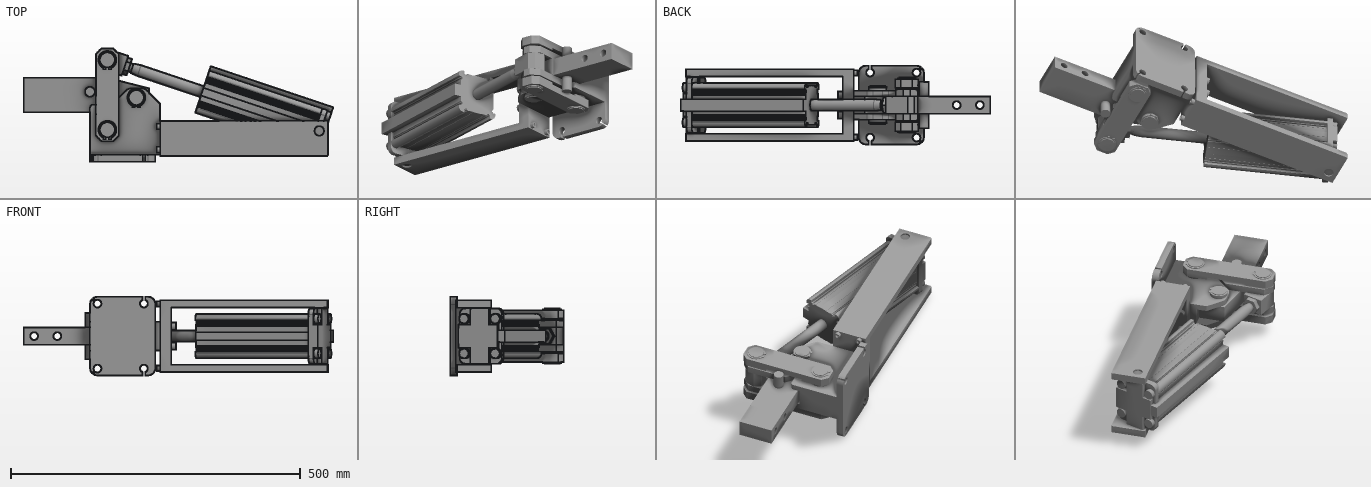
import cadquery as cq
import math


LINK_X = 30.0
BASE_PIN = (LINK_X, 55.5)
TOP_PIN = (LINK_X, 176.0)
PIVOT_PIN = (80.0, 111.0)
STOP_PIN = (0.0, 121.0)
TRUNNION_PIN = (395.5, 53.5)

PLATE_LENGTH = 113.0
PLATE_WIDTH = 136.0
PLATE_THICKNESS = 12.0
PLATE_CORNER = 13.0
PLATE_HOLE = 13.0
PLATE_HOLE_X = (13.0, 93.0)
PLATE_HOLE_Z = 56.0
EDGE_SLOT_WIDTH = 4.0
CORNER_SLOT_WIDTH = 2.5
CORNER_SLOT_ANGLE = 45

BODY_LENGTH = 121.0
BODY_HALF_WIDTH = 25.0
BODY_SHOULDER = 99.0
BODY_TOP = 127.0
BODY_TOP_LEFT = 66.0
BODY_TOP_RIGHT = 94.5
BODY_TOP_FILLET = 15.0
BODY_SHOULDER_FILLET = 6.0

ARM_TIP_X = -114.3
ARM_HALF_WIDTH = 15.0
ARM_BOTTOM = 85.3
ARM_HEIGHT = 60.0
ARM_HOLE = 13.0
ARM_HOLE_OFFSETS = (18.0, 58.0)
HUB_LEFT = 10.5
HUB_RIGHT = 102.0
HUB_BOTTOM = 82.0
HUB_TOP = 149.0
HUB_SLOPE_START = 15.0
STOP_PIN_DIAMETER = 17.0
STOP_PIN_HALF_LENGTH = 40.0

LINK_WIDTH = 40.0
LINK_END = 20.0
LINK_CHAMFER = 10.0
LINK_INNER_Z = 30.0
LINK_OUTER_Z = 45.0
RELIEF_DEPTH = 4.0
INNER_LINK_WIDTH = 38.0
INNER_LINK_BOTTOM = 101.0
INNER_LINK_OUTER_Z = 27.0
INNER_LINK_CHAMFER = 13.0

PIN_DIAMETER = 26.0
PIN_STICK_OUT = 3.0
CLIP_DIAMETER = 31.0
CLIP_THICKNESS = 1.5
CLIP_LUG = 4.0
CLIP_LUG_X = 4.7
CLIP_LUG_DROP = 14.5
WASHER_DIAMETER = 34.0
PIVOT_WASHER_DIAMETER = 30.0

FRAME_RIGHT = 411.0
FRAME_BOTTOM = 10.0
FRAME_HEIGHT = 61.0
FRAME_HALF_WIDTH = 62.0
FRAME_ARM_THICKNESS = 13.0
FRAME_WEB = 19.5
FRAME_END_CHAMFER = 2.0
TRUNNION_HOLE = 16.5
TRUNNION_HALF_LENGTH = 59.0

HEX_SIDES = 6
SCREW_Y = (21.0, 61.0)
OUTER_SCREW_Z = 55.5
OUTER_HEAD_DIAMETER = 10.0
OUTER_HEAD_HEIGHT = 6.0
OUTER_SOCKET = 5.8
OUTER_SOCKET_DEPTH = 3.0
INNER_SCREW_Z = 17.2
INNER_HEAD_DIAMETER = 13.0
INNER_HEAD_HEIGHT = 8.0

ROD_EYE_BACK = -17.0
ROD_EYE_FRONT = 32.0
ROD_EYE_HALF_HEIGHT = 18.0
ROD_EYE_CHAMFER = 9.0
NUT_END = 40.0
NUT_CORNERS = 30.0
NECK_END = 45.0
NECK_RADIUS = 7.5
TAPER_START_RADIUS = 8.5
TAPER_END = 57.5
ROD_RADIUS = 10.0
TUBE_START = 172.5
FLANGE_START = 378.3
FLANGE_END = 387.8
CYLINDER_END = 395.5

TUBE_HALF = 38.3
TUBE_CORNER = 8.7
FACE_RECESS = 4.0
FACE_RECESS_HALF_WIDTH = 27.0
GROOVE_INNER = 19.5
GROOVE_DEPTH = 5.5
GROOVE_SLOT = (21.8, 24.7)
GROOVE_SLOT_DEPTH = 7.5
RIB_HALF_WIDTH = 7.0
CHANNEL_HALF_WIDTH = 16.7
CHANNEL_DEPTH = 0.5
RAIL_TOP = 46.4
RAIL_HALF_WIDTH = 10.5
CAP_HALF_WIDTH = 48.0
CAP_CORNER = 10.0
CAP_TOP = 33.0
CAP_NOTCH_INNER_Z = 20.0
CAP_NOTCH_INNER_Y = 17.0
CAP_SCREW_Y = 28.5
CAP_SCREW_Z = 30.0
CAP_SCREW_DIAMETER = 17.0


def prism(points, z_low, z_high):
    """Closed XY polygon extruded between two Z levels."""
    return cq.Workplane("XY").workplane(offset=z_low).polyline(points).close().extrude(z_high - z_low)


def block(x_low, x_high, y_low, y_high, z_low, z_high):
    """Box given by its limits."""
    size = (x_high - x_low, y_high - y_low, z_high - z_low)
    return cq.Workplane("XY").box(*size, centered=False).translate((x_low, y_low, z_low))


def z_disc(center, diameter, z_low, z_high):
    """Round bar along Z."""
    disc = cq.Workplane("XY").workplane(offset=z_low).center(*center)
    return disc.circle(diameter / 2).extrude(z_high - z_low)


def x_disc(center_y, center_z, diameter, x_low, x_high):
    """Round bar along X."""
    disc = cq.Workplane("YZ").workplane(offset=x_low).center(center_y, center_z)
    return disc.circle(diameter / 2).extrude(x_high - x_low)


def both_sides(half):
    """Add the mirror image across Z = 0."""
    return half.union(half.mirror("XY"))


def make_plate():
    plate = block(0, PLATE_LENGTH, 0, PLATE_THICKNESS, -PLATE_WIDTH / 2, PLATE_WIDTH / 2)
    plate = plate.edges("|Y").fillet(PLATE_CORNER)
    left_x, right_x = PLATE_HOLE_X
    holes = [(x, z) for x in PLATE_HOLE_X for z in (-PLATE_HOLE_Z, PLATE_HOLE_Z)]
    drill = cq.Workplane("XZ").pushPoints(holes).circle(PLATE_HOLE / 2).extrude(-PLATE_THICKNESS)
    edge_slot = block(right_x - EDGE_SLOT_WIDTH / 2, right_x + EDGE_SLOT_WIDTH / 2,
                      0, PLATE_THICKNESS, PLATE_HOLE_Z, PLATE_WIDTH / 2)
    corner_slot = block(-2 * PLATE_CORNER, 0, 0, PLATE_THICKNESS,
                        -CORNER_SLOT_WIDTH / 2, CORNER_SLOT_WIDTH / 2)
    corner_slot = corner_slot.rotate((0, 0, 0), (0, 1, 0), CORNER_SLOT_ANGLE).translate((left_x, 0, PLATE_HOLE_Z))
    return plate.cut(drill).cut(both_sides(edge_slot)).cut(both_sides(corner_slot))


def make_body():
    left_foot = BODY_TOP_LEFT - (BODY_TOP - BODY_SHOULDER)
    right_foot_y = BODY_TOP - (BODY_LENGTH - BODY_TOP_RIGHT)
    outline = [
        (0, PLATE_THICKNESS),
        (BODY_LENGTH, PLATE_THICKNESS),
        (BODY_LENGTH, right_foot_y),
        (BODY_TOP_RIGHT, BODY_TOP),
        (BODY_TOP_LEFT, BODY_TOP),
        (left_foot, BODY_SHOULDER),
        (0, BODY_SHOULDER),
    ]
    body = prism(outline, -BODY_HALF_WIDTH, BODY_HALF_WIDTH)
    body = body.edges("|Z").edges(">Y").fillet(BODY_TOP_FILLET)
    shoulder_edge = cq.selectors.NearestToPointSelector((0, BODY_SHOULDER, 0))
    body = body.edges("|Z").edges(shoulder_edge).fillet(BODY_SHOULDER_FILLET)
    arm_slot = block(0, BODY_LENGTH, HUB_BOTTOM, BODY_TOP, -ARM_HALF_WIDTH, ARM_HALF_WIDTH)
    return body.cut(arm_slot)


def make_arm():
    bar = block(ARM_TIP_X, HUB_LEFT, ARM_BOTTOM, ARM_BOTTOM + ARM_HEIGHT, -ARM_HALF_WIDTH, ARM_HALF_WIDTH)
    holes = [(ARM_TIP_X + offset, 0) for offset in ARM_HOLE_OFFSETS]
    drill = cq.Workplane("XZ").workplane(offset=-ARM_BOTTOM).pushPoints(holes)
    bar = bar.cut(drill.circle(ARM_HOLE / 2).extrude(-ARM_HEIGHT))
    hub_outline = [
        (HUB_LEFT, HUB_BOTTOM),
        (HUB_RIGHT, HUB_BOTTOM),
        (HUB_RIGHT, BODY_TOP),
        (HUB_SLOPE_START, HUB_TOP),
        (HUB_LEFT, HUB_TOP),
    ]
    hub = prism(hub_outline, -ARM_HALF_WIDTH, ARM_HALF_WIDTH)
    stop = z_disc(STOP_PIN, STOP_PIN_DIAMETER, -STOP_PIN_HALF_LENGTH, STOP_PIN_HALF_LENGTH)
    return bar.union(hub).union(stop)


def make_outer_link():
    left = LINK_X - LINK_WIDTH / 2
    right = LINK_X + LINK_WIDTH / 2
    link = block(left, right, BASE_PIN[1] - LINK_END, TOP_PIN[1] + LINK_END, LINK_INNER_Z, LINK_OUTER_Z)
    link = link.edges("|Z").chamfer(LINK_CHAMFER)
    relief = block(left, right, HUB_BOTTOM, HUB_TOP, LINK_INNER_Z, LINK_INNER_Z + RELIEF_DEPTH)
    return link.cut(relief)


def make_inner_link():
    left = LINK_X - INNER_LINK_WIDTH / 2
    right = LINK_X + INNER_LINK_WIDTH / 2
    top = TOP_PIN[1] + LINK_END
    link = block(left, right, INNER_LINK_BOTTOM, top, ARM_HALF_WIDTH, INNER_LINK_OUTER_Z)
    return link.edges("|Z").chamfer(INNER_LINK_CHAMFER)


def make_pin(center, seat_z):
    """Pin through the whole clamp with a retaining clip on its seat at each end."""
    x, y = center
    end_z = seat_z + PIN_STICK_OUT
    clip_top = seat_z + CLIP_THICKNESS
    clip = z_disc(center, CLIP_DIAMETER, seat_z, clip_top)
    for lug_x in (x - CLIP_LUG_X, x + CLIP_LUG_X):
        lug_y = y - CLIP_LUG_DROP
        lug = block(lug_x - CLIP_LUG / 2, lug_x + CLIP_LUG / 2,
                    lug_y - CLIP_LUG / 2, lug_y + CLIP_LUG / 2, seat_z, clip_top)
        clip = clip.union(lug)
    gap_half = CLIP_LUG_X - CLIP_LUG / 2
    clip = clip.cut(block(x - gap_half, x + gap_half, y - CLIP_DIAMETER, y, seat_z, clip_top))
    return z_disc(center, PIN_DIAMETER, -end_z, end_z).union(both_sides(clip))


def make_washer(center, diameter):
    return both_sides(z_disc(center, diameter, BODY_HALF_WIDTH, LINK_INNER_Z))


def make_frame():
    top = FRAME_BOTTOM + FRAME_HEIGHT
    inner_half = FRAME_HALF_WIDTH - FRAME_ARM_THICKNESS
    web_right = BODY_LENGTH + FRAME_WEB
    frame = block(BODY_LENGTH, FRAME_RIGHT, FRAME_BOTTOM, top, -FRAME_HALF_WIDTH, FRAME_HALF_WIDTH)
    frame = frame.edges(">X and <Y").chamfer(FRAME_END_CHAMFER)
    frame = frame.cut(block(web_right, FRAME_RIGHT, FRAME_BOTTOM, top, -inner_half, inner_half))
    return frame.cut(z_disc(TRUNNION_PIN, TRUNNION_HOLE, -FRAME_HALF_WIDTH, FRAME_HALF_WIDTH))


def make_frame_screws():
    head_x = BODY_LENGTH - OUTER_HEAD_HEIGHT
    web_right = BODY_LENGTH + FRAME_WEB
    screws = cq.Workplane("XY")
    for y in SCREW_Y:
        for side in (-1, 1):
            outer = x_disc(y, side * OUTER_SCREW_Z, OUTER_HEAD_DIAMETER, head_x, BODY_LENGTH)
            socket = cq.Workplane("YZ").workplane(offset=head_x).center(y, side * OUTER_SCREW_Z)
            outer = outer.cut(socket.polygon(HEX_SIDES, OUTER_SOCKET).extrude(OUTER_SOCKET_DEPTH))
            inner = x_disc(y, side * INNER_SCREW_Z, INNER_HEAD_DIAMETER,
                           web_right, web_right + INNER_HEAD_HEIGHT)
            screws = screws.union(outer).union(inner)
    return screws


def make_rod():
    """Rod eye, lock nut and piston rod along +X from the origin."""
    eye = block(ROD_EYE_BACK, ROD_EYE_FRONT, -ROD_EYE_HALF_HEIGHT, ROD_EYE_HALF_HEIGHT,
                -ARM_HALF_WIDTH, ARM_HALF_WIDTH)
    eye = eye.edges("<X and |Z").chamfer(ROD_EYE_CHAMFER)
    nut = cq.Workplane("YZ").workplane(offset=ROD_EYE_FRONT).polygon(HEX_SIDES, NUT_CORNERS)
    nut = nut.extrude(NUT_END - ROD_EYE_FRONT)
    half_section = [
        (NUT_END, 0),
        (NUT_END, NECK_RADIUS),
        (NECK_END, NECK_RADIUS),
        (NECK_END, TAPER_START_RADIUS),
        (TAPER_END, ROD_RADIUS),
        (TUBE_START, ROD_RADIUS),
        (TUBE_START, 0),
    ]
    rod = cq.Workplane("XY").polyline(half_section).close().revolve(360, (0, 0, 0), (1, 0, 0))
    return eye.union(nut).union(rod)


def make_face_recess():
    """Cutter for the profiled recess along the +Y face of the tube."""
    start, end = TUBE_START, FLANGE_START
    floor = TUBE_HALF - FACE_RECESS
    cutter = block(start, end, floor, TUBE_HALF, -FACE_RECESS_HALF_WIDTH, FACE_RECESS_HALF_WIDTH)
    groove = block(start, end, TUBE_HALF - GROOVE_DEPTH, floor, GROOVE_INNER, FACE_RECESS_HALF_WIDTH)
    slot = block(start, end, TUBE_HALF - GROOVE_SLOT_DEPTH, floor, *GROOVE_SLOT)
    channel = block(start, end, floor - CHANNEL_DEPTH, floor, RIB_HALF_WIDTH, CHANNEL_HALF_WIDTH)
    return cutter.union(both_sides(groove.union(slot))).union(both_sides(channel))


def make_tube():
    tube = block(TUBE_START, FLANGE_START, -TUBE_HALF, TUBE_HALF, -TUBE_HALF, TUBE_HALF)
    tube = tube.edges("|X").fillet(TUBE_CORNER)
    recess = make_face_recess()
    for quarter_turn in range(4):
        tube = tube.cut(recess.rotate((0, 0, 0), (1, 0, 0), 90 * quarter_turn))
    return tube


def make_rail():
    """Rail along the upper side of the cylinder."""
    floor = TUBE_HALF - FACE_RECESS - CHANNEL_DEPTH
    return block(TUBE_START, CYLINDER_END, floor, RAIL_TOP, -RAIL_HALF_WIDTH, RAIL_HALF_WIDTH)


def make_cap():
    """Rear cap with corner notches that hold the tie screw heads."""
    cap = block(FLANGE_START, CYLINDER_END, -TUBE_HALF, TUBE_HALF, -CAP_HALF_WIDTH, CAP_HALF_WIDTH)
    cap = cap.edges("|X").fillet(CAP_CORNER)
    notch = block(FLANGE_END, CYLINDER_END, CAP_NOTCH_INNER_Y, TUBE_HALF, CAP_NOTCH_INNER_Z, CAP_HALF_WIDTH)
    screw = x_disc(CAP_SCREW_Y, CAP_SCREW_Z, CAP_SCREW_DIAMETER, FLANGE_END, CYLINDER_END)
    notches = both_sides(notch)
    screws = both_sides(screw)
    cap = cap.cut(notches).cut(notches.mirror("XZ"))
    top_recess = block(FLANGE_END, CYLINDER_END, CAP_TOP, TUBE_HALF, -CAP_NOTCH_INNER_Z, CAP_NOTCH_INNER_Z)
    return cap.cut(top_recess).union(screws).union(screws.mirror("XZ"))


def make_cylinder():
    """Cylinder aimed from the top pin at the trunnion."""
    drop = TOP_PIN[1] - TRUNNION_PIN[1]
    tilt = math.degrees(math.atan2(drop, TRUNNION_PIN[0] - TOP_PIN[0]))
    cylinder = make_rod().union(make_tube()).union(make_rail()).union(make_cap())
    cylinder = cylinder.rotate((0, 0, 0), (0, 0, 1), -tilt)
    return cylinder.translate((TOP_PIN[0], TOP_PIN[1], 0))


parts = [
    make_body(),
    make_arm(),
    both_sides(make_inner_link()),
    both_sides(make_outer_link()),
    make_washer(BASE_PIN, WASHER_DIAMETER),
    make_washer(PIVOT_PIN, PIVOT_WASHER_DIAMETER),
    make_pin(BASE_PIN, LINK_OUTER_Z),
    make_pin(TOP_PIN, LINK_OUTER_Z),
    make_pin(PIVOT_PIN, LINK_INNER_Z),
    make_frame(),
    make_frame_screws(),
    make_cylinder(),
    z_disc(TRUNNION_PIN, TRUNNION_HOLE, -TRUNNION_HALF_LENGTH, TRUNNION_HALF_LENGTH),
]

result = make_plate()
for part in parts:
    result = result.union(part)